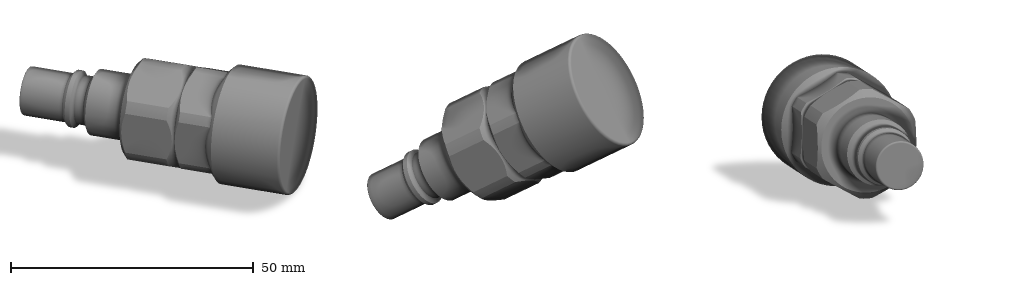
import cadquery as cq
import math

COLLAR_START = 9.35
COLLAR_CREST_START = 10.2
COLLAR_CREST_END = 11.2
COLLAR_END = 11.95
SHOULDER_START = 13.9
SHOULDER_CONE_END = 15.0
FRONT_NUT_START = 23.5
NUT_JOINT = 35.45
SOCKET_START = 44.25
LENGTH = 59.1

PLUG_DIAMETER = 10.3
COLLAR_DIAMETER = 12.0
SHOULDER_DIAMETER = 13.9
SOCKET_DIAMETER = 25.0

ACROSS_FLATS = 21.15
FRONT_NUT_DIAMETER = 23.05
REAR_NUT_DIAMETER = 23.3
REAR_NUT_TURN = 1.0
FRONT_NUT_FACE_DIAMETER = 20.0
JOINT_DIAMETER = 20.55
FRONT_NUT_CHAMFER = 1.4
JOINT_FRONT_CHAMFER = 1.55
JOINT_REAR_CHAMFER = 1.1

TIP_ROUND = 0.35
FILLET_RADIUS = 1.0
SOCKET_ROUND = 0.55


def revolve_profile(profile):
    """Close an XY profile on the X axis and revolve it around that axis."""
    return profile.close().revolve(360, (0, 0, 0), (1, 0, 0))


def make_plug():
    """Solid plug with its tip, locking collar, shoulder and root fillet."""
    plug_radius = PLUG_DIAMETER / 2
    shoulder_radius = SHOULDER_DIAMETER / 2
    fillet_start = FRONT_NUT_START - FILLET_RADIUS
    fillet_outer_radius = shoulder_radius + FILLET_RADIUS
    fillet_mid_offset = FILLET_RADIUS * math.sqrt(0.5)
    fillet_middle = (fillet_start + fillet_mid_offset, fillet_outer_radius - fillet_mid_offset)
    profile = (
        cq.Workplane("XY")
        .lineTo(0, plug_radius)
        .lineTo(COLLAR_START, plug_radius)
        .lineTo(COLLAR_CREST_START, COLLAR_DIAMETER / 2)
        .lineTo(COLLAR_CREST_END, COLLAR_DIAMETER / 2)
        .lineTo(COLLAR_END, plug_radius)
        .lineTo(SHOULDER_START, plug_radius)
        .lineTo(SHOULDER_CONE_END, shoulder_radius)
        .lineTo(fillet_start, shoulder_radius)
        .threePointArc(fillet_middle, (FRONT_NUT_START, fillet_outer_radius))
        .lineTo(FRONT_NUT_START, 0)
    )
    return revolve_profile(profile).faces("<X").edges().fillet(TIP_ROUND)


def hex_prism(start, end):
    """Hexagonal bar along X with flats facing +Y and -Y before any turn."""
    across_corners = ACROSS_FLATS / math.cos(math.radians(30))
    return (
        cq.Workplane("YZ", origin=(start, 0, 0))
        .transformed(rotate=(0, 0, 90))
        .polygon(6, across_corners)
        .extrude(end - start)
    )


def make_front_nut():
    """Hexagonal nut turned to a chamfered envelope at both ends."""
    nut_radius = FRONT_NUT_DIAMETER / 2
    envelope = (
        cq.Workplane("XY")
        .moveTo(FRONT_NUT_START, 0)
        .lineTo(FRONT_NUT_START, FRONT_NUT_FACE_DIAMETER / 2)
        .lineTo(FRONT_NUT_START + FRONT_NUT_CHAMFER, nut_radius)
        .lineTo(NUT_JOINT - JOINT_FRONT_CHAMFER, nut_radius)
        .lineTo(NUT_JOINT, JOINT_DIAMETER / 2)
        .lineTo(NUT_JOINT, 0)
    )
    return hex_prism(FRONT_NUT_START, NUT_JOINT).intersect(revolve_profile(envelope))


def make_rear_nut():
    """Hexagon of the socket body, chamfered at the joint and running into the socket."""
    nut_radius = REAR_NUT_DIAMETER / 2
    envelope = (
        cq.Workplane("XY")
        .moveTo(NUT_JOINT, 0)
        .lineTo(NUT_JOINT, JOINT_DIAMETER / 2)
        .lineTo(NUT_JOINT + JOINT_REAR_CHAMFER, nut_radius)
        .lineTo(SOCKET_START, nut_radius)
        .lineTo(SOCKET_START, 0)
    )
    hexagon = hex_prism(NUT_JOINT, SOCKET_START).rotate((0, 0, 0), (1, 0, 0), REAR_NUT_TURN)
    return hexagon.intersect(revolve_profile(envelope))


def make_socket():
    """Cylindrical socket with a 45 degree cone rising out of the rear hexagon."""
    socket_radius = SOCKET_DIAMETER / 2
    cone_base_radius = JOINT_DIAMETER / 2
    cone_start = SOCKET_START - (socket_radius - cone_base_radius)
    profile = (
        cq.Workplane("XY")
        .moveTo(cone_start, 0)
        .lineTo(cone_start, cone_base_radius)
        .lineTo(SOCKET_START, socket_radius)
        .lineTo(LENGTH, socket_radius)
        .lineTo(LENGTH, 0)
    )
    return revolve_profile(profile).faces(">X").edges().fillet(SOCKET_ROUND)


result = make_plug().union(make_front_nut()).union(make_rear_nut()).union(make_socket())